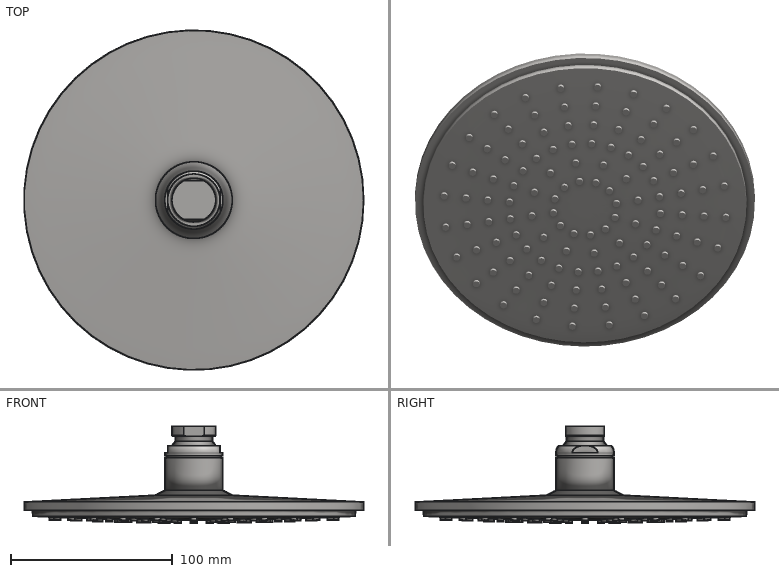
import cadquery as cq
import math

rim_radius = 105.0
rim_bottom_z = 7.8
rim_top_z = 13.0
plate_top_radius = 100.0
plate_bottom_radius = 99.8
plate_bottom_z = 4.2
dome_apex_z = 1.7
flare_radius = 23.7
flare_bottom_z = 17.2
flare_top_z = 20.2
barrel_radius = 36.0 / 2
barrel_top_z = 40.3

nozzle_radius = 4.2 / 2
nozzle_length = 1.78
inner_ring_radius = 19.7
outer_ring_radius = 87.4
nozzles_per_ring = [12, 12, 24, 24, 24, 24]
ring_pitch = (outer_ring_radius - inner_ring_radius) / (len(nozzles_per_ring) - 1)

spigot_radius = 17.0
spigot_depth = 6.3
collar_radius = barrel_radius
collar_bottom_z = 41.5
collar_shoulder_z = 43.5
collar_top_radius = 16.2
collar_top_z = 47.9
collar_flat_offset = 16.2
neck_base_radius = 27.0 / 2
neck_radius = 23.0 / 2
neck_bottom_z = 50.5
nut_bottom_z = 53.5
nut_chamfer = 0.6
nut_radius = 27.0 / 2
nut_flat_offset = 12.0
nut_top_z = 59.8

spigot_bottom_z = barrel_top_z - spigot_depth

dome_sagitta = plate_bottom_z - dome_apex_z
dome_sphere_radius = (plate_bottom_radius**2 + dome_sagitta**2) / (2 * dome_sagitta)


def dome_z(radius):
    """Height of the spray face at a distance from the axis."""
    return dome_apex_z + dome_sphere_radius - math.sqrt(dome_sphere_radius**2 - radius**2)


def revolve_about_z(profile):
    """Turn a closed (radius, z) profile fully about the Z axis."""
    return profile.close().revolve(360, (0, 0, 0), (0, 1, 0))


def make_head_blank():
    """Disc, flare and barrel with the socket for the spigot."""
    dome_middle = plate_bottom_radius / 2
    profile = (
        cq.Workplane("XZ")
        .moveTo(0, dome_apex_z)
        .threePointArc((dome_middle, dome_z(dome_middle)), (plate_bottom_radius, plate_bottom_z))
        .lineTo(plate_top_radius, rim_bottom_z)
        .lineTo(rim_radius, rim_bottom_z)
        .lineTo(rim_radius, rim_top_z)
        .lineTo(flare_radius, flare_bottom_z)
        .lineTo(barrel_radius, flare_top_z)
        .lineTo(barrel_radius, barrel_top_z)
        .lineTo(spigot_radius, barrel_top_z)
        .lineTo(spigot_radius, spigot_bottom_z)
        .lineTo(0, spigot_bottom_z)
    )
    return revolve_about_z(profile)


def make_nozzle_ring(radius, count):
    """One ring of equal nozzles, rooted inside the plate."""
    tip_z = dome_z(radius) - nozzle_length
    return (
        cq.Workplane("XY", origin=(0, 0, tip_z))
        .polarArray(radius, 0, 360, count)
        .circle(nozzle_radius)
        .extrude(plate_bottom_z - tip_z)
    )


def make_head():
    head = make_head_blank()
    for index, count in enumerate(nozzles_per_ring):
        head = head.union(make_nozzle_ring(inner_ring_radius + index * ring_pitch, count))
    return head


def flat_sided_slab(across_x, across_y, bottom_z, top_z):
    """Block centred on the axis, used to keep what lies between two flats."""
    return (
        cq.Workplane("XY", origin=(0, 0, bottom_z))
        .rect(across_x, across_y)
        .extrude(top_z - bottom_z)
    )


def make_spigot_and_collar_base():
    spigot = (
        cq.Workplane("XY", origin=(0, 0, spigot_bottom_z))
        .circle(spigot_radius)
        .extrude(collar_bottom_z - spigot_bottom_z)
    )
    collar_base = (
        cq.Workplane("XY", origin=(0, 0, collar_bottom_z))
        .circle(collar_radius)
        .extrude(collar_shoulder_z - collar_bottom_z)
    )
    return spigot.union(collar_base)


def make_collar_crown():
    """Rounded upper part of the collar, with wrench flats facing +X and -X."""
    rise = collar_top_z - collar_shoulder_z
    inset = collar_radius - collar_top_radius
    arc_radius = (rise**2 + inset**2) / (2 * inset)
    middle_rise = rise / 2
    middle_radius = collar_radius - arc_radius + math.sqrt(arc_radius**2 - middle_rise**2)
    profile = (
        cq.Workplane("XZ")
        .moveTo(0, collar_shoulder_z)
        .lineTo(collar_radius, collar_shoulder_z)
        .threePointArc((middle_radius, collar_shoulder_z + middle_rise), (collar_top_radius, collar_top_z))
        .lineTo(0, collar_top_z)
    )
    slab = flat_sided_slab(2 * collar_flat_offset, 2 * collar_radius, collar_shoulder_z, collar_top_z)
    return revolve_about_z(profile).intersect(slab)


def make_neck():
    """Conical foot that narrows to a straight neck."""
    profile = (
        cq.Workplane("XZ")
        .moveTo(0, collar_top_z)
        .lineTo(neck_base_radius, collar_top_z)
        .lineTo(neck_radius, neck_bottom_z)
        .lineTo(neck_radius, nut_bottom_z)
        .lineTo(0, nut_bottom_z)
    )
    return revolve_about_z(profile)


def make_nut():
    """Round nut, chamfered below, with flats facing +Y and -Y."""
    nut = (
        cq.Workplane("XY", origin=(0, 0, nut_bottom_z))
        .circle(nut_radius)
        .extrude(nut_top_z - nut_bottom_z)
        .faces("<Z")
        .chamfer(nut_chamfer)
    )
    return nut.intersect(flat_sided_slab(2 * nut_radius, 2 * nut_flat_offset, nut_bottom_z, nut_top_z))


def make_connector():
    connector = make_spigot_and_collar_base()
    for section in (make_collar_crown(), make_neck(), make_nut()):
        connector = connector.union(section)
    return connector


head = make_head()
connector = make_connector()

result = cq.Compound.makeCompound([head.val(), connector.val()])